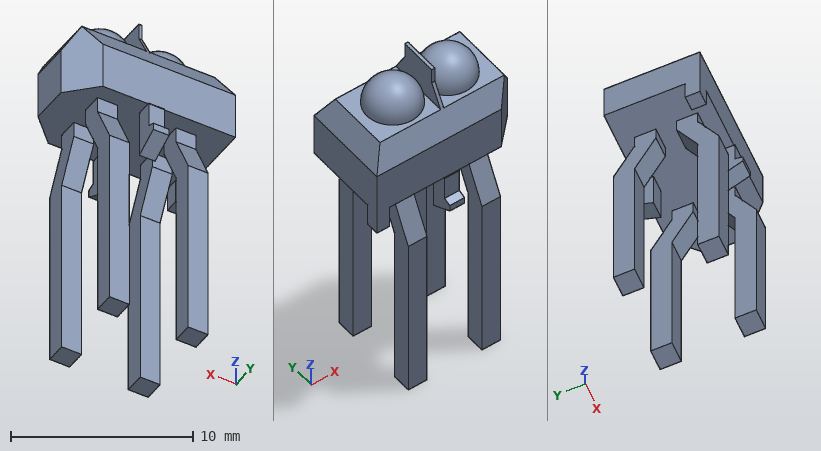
import cadquery as cq

body_length = 10.19
body_width = 5.76
shoulder_height = 3.0
body_height = 4.49
taper_inset = 0.84
corner_cut = 2 * taper_inset

lens_radius = 1.75
fin_thickness = 0.22
lens_offset = lens_radius + fin_thickness / 2
fin_width = 2.46
fin_top = 6.97

foot_side = 0.88
foot_depth = 1.52

total_height = 22.0
lead_side = 1.28
lead_spacing = 5.04
lead_inner_top = 0.62
lead_splay = 1.28
lead_bend_start = -1.0
lead_bend_end = -3.56

clip_length = 1.01
clip_inner = 1.94
clip_outer = 2.95
barb_span = 6.85
barb_shoulder = -1.58
barb_top = -1.75
barb_bottom = -2.2
clip_tip = -3.0


def box_on(z_bottom, length, width, height):
    """Box centred in X and Y, standing on the given level."""
    plane = cq.Workplane("XY", origin=(0, 0, z_bottom))
    return plane.box(length, width, height, centered=(True, True, False))


def make_housing():
    """Block with a tapered roof and two vertical corner cuts at the +X end."""
    base = box_on(0, body_length, body_width, shoulder_height)
    roof = (
        cq.Workplane("XY", origin=(0, 0, shoulder_height))
        .rect(body_length, body_width)
        .workplane(offset=body_height - shoulder_height)
        .rect(body_length - 2 * taper_inset, body_width - 2 * taper_inset)
        .loft(ruled=True)
    )
    cut_envelope = box_on(0, body_length, body_width, body_height).edges("|Z and >X").chamfer(corner_cut)
    return base.union(roof).intersect(cut_envelope)


def extrude_along_x(points, x_center, length):
    """Solid from a Y-Z outline, centred on the given X position."""
    return cq.Workplane("YZ", origin=(x_center, 0, 0)).polyline(points).close().extrude(length / 2, both=True)


def make_fin():
    """Thin fin whose sloping flanks continue the roof taper."""
    base_half = body_width / 2 - taper_inset
    tip_half = fin_width / 2
    roof_slope = (body_height - shoulder_height) / taper_inset
    flank_top = body_height + (base_half - tip_half) * roof_slope
    outline = [
        (-base_half, body_height),
        (base_half, body_height),
        (tip_half, flank_top),
        (tip_half, fin_top),
        (-tip_half, fin_top),
        (-tip_half, flank_top),
    ]
    return extrude_along_x(outline, 0, fin_thickness)


def make_lens(x_center):
    """Sphere centred on the roof, so that half of it stands proud."""
    return cq.Workplane("XY", origin=(x_center, 0, body_height)).sphere(lens_radius)


def make_foot():
    """Square peg below the -X, -Y corner."""
    x_center = (foot_side - body_length) / 2
    y_center = (foot_side - body_width) / 2
    return box_on(-foot_depth, foot_side, foot_side, foot_depth).translate((x_center, y_center, 0))


def make_lead(x_center):
    """Square lead on the +Y side, bent outward below the housing."""
    lead_end = fin_top - total_height
    inner_edge = [
        (lead_inner_top, 0),
        (lead_inner_top, lead_bend_start),
        (lead_inner_top + lead_splay, lead_bend_end),
        (lead_inner_top + lead_splay, lead_end),
    ]
    outer_edge = [(y + lead_side, z) for y, z in reversed(inner_edge)]
    return extrude_along_x(inner_edge + outer_edge, x_center, lead_side)


def make_clip():
    """Snap clip on the +Y side, slightly proud of the housing, with an outward barb."""
    outline = [
        (clip_inner, 0),
        (clip_outer, 0),
        (clip_outer, barb_shoulder),
        (barb_span / 2, barb_top),
        (barb_span / 2, barb_bottom),
        (clip_inner, clip_tip),
    ]
    return extrude_along_x(outline, 0, clip_length)


result = make_housing().union(make_fin()).union(make_foot())
for side in (-1, 1):
    result = result.union(make_lens(side * lens_offset))

side_parts = [make_clip()]
for side in (-1, 1):
    side_parts.append(make_lead(side * lead_spacing / 2))
for part in side_parts:
    result = result.union(part).union(part.mirror("XZ"))